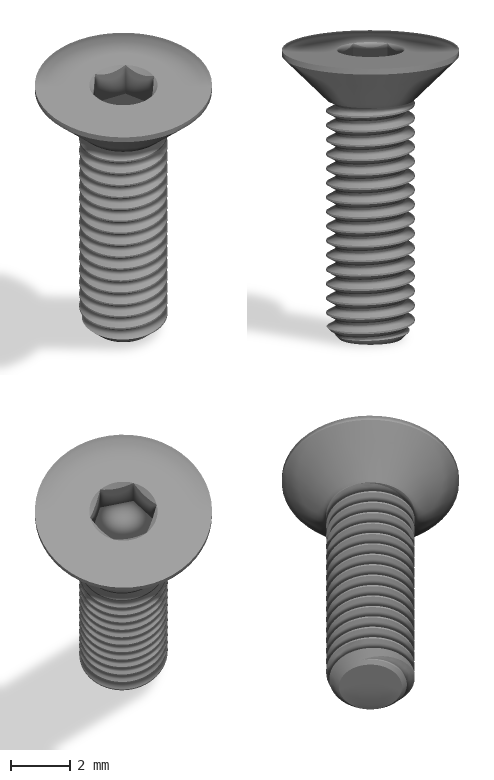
import cadquery as cq
import math


screw_length = 10.0
head_diameter = 6.0
thread_diameter = 3.0
pitch = 0.5

rim_height = 0.2
head_radius = head_diameter / 2
crest_radius = thread_diameter / 2
cone_top = screw_length - rim_height
head_bottom = cone_top - (head_radius - crest_radius)

flank_slope = math.tan(math.radians(30))
full_triangle_height = pitch / (2 * flank_slope)
core_radius = crest_radius - 17 / 24 * full_triangle_height
crest_half_width = pitch / 16
root_radius = core_radius - 0.03
root_half_width = crest_half_width + (crest_radius - root_radius) * flank_slope
crest_height_at_plus_x = 0.42

tip_radius = 1.07

socket_flats = 2.0
socket_depth = 1.2
socket_corner_radius = socket_flats / math.sqrt(3)

trim_clearance = 0.5
core_overrun = 4 * pitch


def make_socket():
    """Hexagonal recess with a 45 degree lead-in cone through its corners."""
    hexagon = (
        cq.Workplane("XY", origin=(0, 0, screw_length - socket_depth))
        .polygon(6, 2 * socket_corner_radius)
        .extrude(socket_depth)
        .rotate((0, 0, 0), (0, 0, 1), 30)
    )
    lead_in = (
        cq.Workplane("XZ")
        .moveTo(0, screw_length)
        .lineTo(socket_corner_radius, screw_length)
        .lineTo(0, screw_length - socket_corner_radius)
        .close()
        .revolve(360, (0, 0, 0), (0, 1, 0))
    )
    return hexagon.union(lead_in)


def make_head():
    """Countersunk head with the socket cut out."""
    turned = (
        cq.Workplane("XZ")
        .moveTo(0, head_bottom)
        .lineTo(crest_radius, head_bottom)
        .lineTo(head_radius, cone_top)
        .lineTo(head_radius, screw_length)
        .lineTo(0, screw_length)
        .close()
        .revolve(360, (0, 0, 0), (0, 1, 0))
    )
    return turned.cut(make_socket())


def make_shank_limits():
    """Blunt-pointed cylinder whose tip cone and flat top trim the shank."""
    limit_radius = crest_radius + trim_clearance
    return (
        cq.Workplane("XZ")
        .moveTo(0, 0)
        .lineTo(tip_radius, 0)
        .lineTo(limit_radius, limit_radius - tip_radius)
        .lineTo(limit_radius, head_bottom)
        .lineTo(0, head_bottom)
        .close()
        .revolve(360, (0, 0, 0), (0, 1, 0))
    )


def make_ridge():
    """Right-hand helical ridge that starts below the tip and runs past the head bottom."""
    start_height = crest_height_at_plus_x - 2 * pitch
    turns = math.ceil((head_bottom - start_height) / pitch) + 1

    corners = [
        (root_radius, start_height - root_half_width),
        (crest_radius, start_height - crest_half_width),
        (crest_radius, start_height + crest_half_width),
        (root_radius, start_height + root_half_width),
    ]
    helices = [
        cq.Wire.makeHelix(pitch, turns * pitch, radius, center=cq.Vector(0, 0, height)).Edges()[0]
        for radius, height in corners
    ]
    sides = [
        cq.Face.makeRuledSurface(edge, next_edge)
        for edge, next_edge in zip(helices, helices[1:] + helices[:1])
    ]
    ends = [
        cq.Face.makeFromWires(cq.Wire.makePolygon([edge.positionAt(end) for edge in helices], close=True))
        for end in (0, 1)
    ]
    shell = cq.Shell.makeShell(sides + ends)
    return cq.Workplane(cq.Solid.makeSolid(shell))


def make_shank():
    """Core and ridge in one piece, level with the head bottom and pointed at the tip."""
    core = (
        cq.Workplane("XY", origin=(0, 0, -core_overrun))
        .circle(core_radius)
        .extrude(head_bottom + 2 * core_overrun)
    )
    return core.union(make_ridge()).intersect(make_shank_limits())


head = make_head()
shank = make_shank()

result = cq.Compound.makeCompound([head.val(), *shank.vals()])